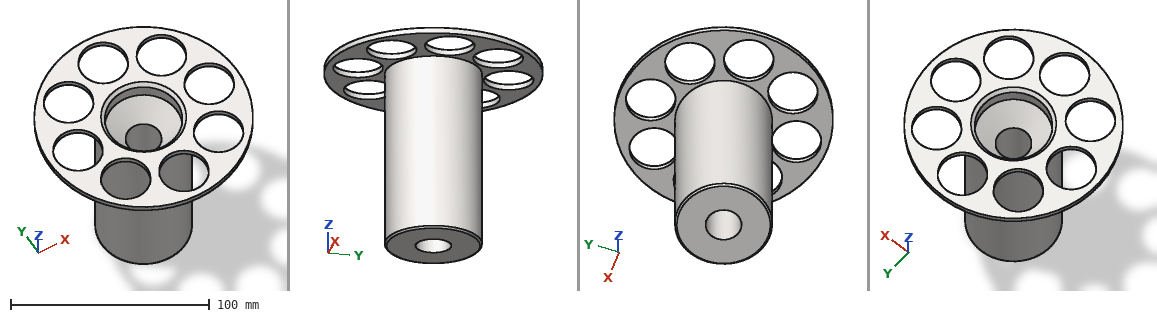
import cadquery as cq

flange_diameter = 110.0
flange_thickness = 3.0
tube_diameter = 49.0
total_height = 96.0
foot_chamfer = 1.0

hole_count = 8
hole_diameter = 25.0
hole_circle_diameter = 77.4

mouth_diameter = 42.9
socket_diameter = 39.0
bore_diameter = 18.0
socket_depth = 8.9

mouth_depth = (mouth_diameter - socket_diameter) / 2
funnel_depth = (socket_diameter - bore_diameter) / 2


def make_body():
    """Tube standing on Z = 0 with the flange at its upper end."""
    tube = (
        cq.Workplane("XY")
        .circle(tube_diameter / 2)
        .extrude(total_height)
        .faces("<Z")
        .chamfer(foot_chamfer)
    )
    flange = (
        cq.Workplane("XY")
        .workplane(offset=total_height - flange_thickness)
        .circle(flange_diameter / 2)
        .extrude(flange_thickness)
    )
    return tube.union(flange)


def make_flange_holes():
    """Cutters for the ring of holes around the tube."""
    return (
        cq.Workplane("XY")
        .workplane(offset=total_height - flange_thickness)
        .polarArray(hole_circle_diameter / 2, 0, 360, hole_count)
        .circle(hole_diameter / 2)
        .extrude(flange_thickness)
    )


def make_bore():
    """Revolved cutter: bevelled mouth, socket, funnel and through bore."""
    mouth_bottom = total_height - mouth_depth
    funnel_top = total_height - socket_depth
    funnel_bottom = funnel_top - funnel_depth
    return (
        cq.Workplane("XZ")
        .moveTo(0, 0)
        .lineTo(bore_diameter / 2, 0)
        .lineTo(bore_diameter / 2, funnel_bottom)
        .lineTo(socket_diameter / 2, funnel_top)
        .lineTo(socket_diameter / 2, mouth_bottom)
        .lineTo(mouth_diameter / 2, total_height)
        .lineTo(0, total_height)
        .close()
        .revolve(360, (0, 0, 0), (0, 1, 0))
    )


result = make_body().cut(make_flange_holes()).cut(make_bore())